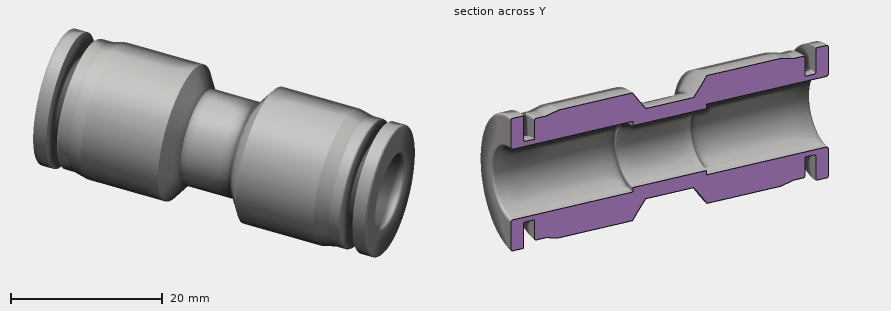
import cadquery as cq

length = 47.6
half_length = length / 2

flange_height = 19.5
flange_width = 17.1
flange_lean = 7.2
flange_thickness = 1.95
flange_edge_radius = 0.3

collar_diameter = 11.9
collar_root_radius = 0.25

body_diameter = 18.8
lip_diameter = 17.9
neck_diameter = 13.3
lip_start = 3.5
lip_end = 5.25
body_start = 7.2
body_end = 18.25
neck_start = 20.25
lip_edge_radius = 0.3

socket_diameter = 10.3
passage_diameter = 9.0
socket_depth = body_end
socket_mouth_radius = 0.4


def make_half_housing():
    """Revolve the housing and collar from the inside of the flange to the middle."""
    collar_radius = collar_diameter / 2
    lip_radius = lip_diameter / 2
    body_radius = body_diameter / 2
    neck_radius = neck_diameter / 2
    collar_start = flange_thickness - half_length
    root_radius = collar_root_radius
    edge_radius = lip_edge_radius
    lip_face = lip_start - half_length
    return (
        cq.Workplane("XY")
        .moveTo(collar_start, 0)
        .lineTo(collar_start, collar_radius + root_radius)
        .radiusArc((collar_start + root_radius, collar_radius), -root_radius)
        .lineTo(lip_face, collar_radius)
        .lineTo(lip_face, lip_radius - edge_radius)
        .radiusArc((lip_face + edge_radius, lip_radius), edge_radius)
        .lineTo(lip_end - half_length, lip_radius)
        .lineTo(body_start - half_length, body_radius)
        .lineTo(body_end - half_length, body_radius)
        .lineTo(neck_start - half_length, neck_radius)
        .lineTo(0, neck_radius)
        .lineTo(0, 0)
        .close()
        .revolve(360, (0, 0, 0), (1, 0, 0))
    )


def make_flange():
    """Oval flange at the -X end, rounded around its outer face."""
    return (
        cq.Workplane("YZ", origin=(-half_length, 0, 0))
        .ellipse(flange_width / 2, flange_height / 2)
        .extrude(flange_thickness)
        .faces("<X")
        .edges()
        .fillet(flange_edge_radius)
        .rotate((0, 0, 0), (1, 0, 0), -flange_lean)
    )


def make_half():
    """One end of the connector, with its tube socket and half of the passage."""
    solid = make_half_housing().union(make_flange())
    end_plane = cq.Workplane("YZ", origin=(-half_length, 0, 0))
    socket = end_plane.circle(socket_diameter / 2).extrude(socket_depth)
    passage = end_plane.circle(passage_diameter / 2).extrude(half_length)
    bored = solid.cut(socket).cut(passage)
    mouth = cq.selectors.RadiusNthSelector(0)
    return bored.faces("<X").edges("%CIRCLE").edges(mouth).fillet(socket_mouth_radius)


left_half = make_half()
right_half = left_half.rotate((0, 0, 0), (0, 1, 0), 180)
result = left_half.union(right_half).clean()